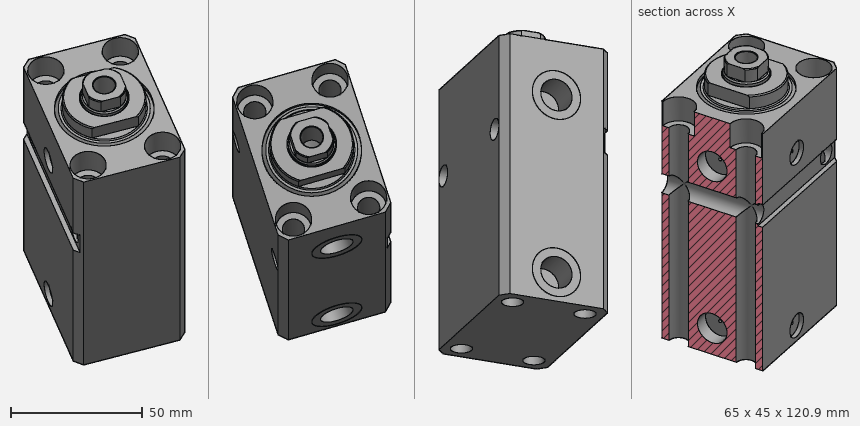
import cadquery as cq
import math

total_height = 120.9
block_length = 65.0
block_depth = 45.0
rod_projection = 13.7
block_height = total_height - rod_projection
corner_chamfer = 3.1

bolt_spacing_x = 50.0
bolt_spacing_y = 30.0
bolt_hole_diameter = 8.5
bolt_head_diameter = 13.8
bolt_head_depth = 10.9

keyway_height = 10.0
keyway_depth = 2.0
keyway_z = block_height - 37.1
cross_hole_diameter = 8.5

upper_port_z = block_height - 22.1
lower_side_port_z = 12.0
lower_front_port_z = 7.0
lower_duct_rise = 0.5
lower_front_duct_z = lower_front_port_z + lower_duct_rise
side_port_diameter = 12.9
side_port_depth = 13.3
spotface_diameter = 20.0
spotface_depth = 0.1
front_port_diameter = 10.0
front_port_depth = 1.9
oil_duct_diameter = 1.2
oil_duct_depth = 1.2

gland_diameter = 38.0
gland_chamfer = 1.5
gland_insertion = 14.5
foot_diameter = 32.9
foot_height = 0.5
boss_diameter = 31.9
boss_height = 6.3
boss_chamfer = 0.5
boss_flats = 26.0
bore_countersink = 0.5

rod_diameter = 18.0
rod_end_diameter = 16.9
rod_shoulder_chamfer = 0.6
rod_end_length = 5.9
rod_end_chamfer = 0.4
rod_flats = 15.0
thread_diameter = 8.5
thread_depth = 14.5
thread_chamfer = 0.2
drill_point_angle = 118

gland_bottom_z = block_height - gland_insertion
boss_top_z = block_height + boss_height
shoulder_z = total_height - rod_end_length


def cylinder(diameter, bottom_z, top_z):
    """Upright cylinder on the Z axis."""
    return cq.Workplane().workplane(offset=bottom_z).circle(diameter / 2).extrude(top_z - bottom_z)


def hole_from_left(diameter, depth, z):
    """Hole cutter that enters the left face along +X."""
    start = cq.Vector(-block_length / 2, 0, z)
    return cq.Workplane(cq.Solid.makeCylinder(diameter / 2, depth, start, cq.Vector(1, 0, 0)))


def hole_from_front(diameter, depth, x, z):
    """Hole cutter that enters the front face along +Y."""
    start = cq.Vector(x, -block_depth / 2, z)
    return cq.Workplane(cq.Solid.makeCylinder(diameter / 2, depth, start, cq.Vector(0, 1, 0)))


def make_housing():
    block = (
        cq.Workplane()
        .box(block_length, block_depth, block_height, centered=(True, True, False))
        .edges("|Z")
        .chamfer(corner_chamfer)
    )
    block = (
        block.faces(">Z")
        .workplane(origin=(0, 0, block_height))
        .rarray(bolt_spacing_x, bolt_spacing_y, 2, 2)
        .cboreHole(bolt_hole_diameter, bolt_head_diameter, bolt_head_depth)
    )

    keyway = cq.Workplane().box(block_length, 2 * keyway_depth, keyway_height)
    block = block.cut(keyway.translate((0, -block_depth / 2, keyway_z)))
    for x in (-bolt_spacing_x / 2, bolt_spacing_x / 2):
        block = block.cut(hole_from_front(cross_hole_diameter, block_depth, x, keyway_z))

    for z in (lower_side_port_z, upper_port_z):
        block = block.cut(hole_from_left(spotface_diameter, spotface_depth, z))
        block = block.cut(hole_from_left(side_port_diameter, side_port_depth, z))
        block = block.cut(hole_from_left(oil_duct_diameter, side_port_depth + oil_duct_depth, z))

    for port_z, duct_z in ((lower_front_port_z, lower_front_duct_z), (upper_port_z, upper_port_z)):
        block = block.cut(hole_from_front(front_port_diameter, front_port_depth, 0, port_z))
        block = block.cut(hole_from_front(oil_duct_diameter, front_port_depth + oil_duct_depth, 0, duct_z))

    return block.cut(cylinder(gland_diameter, gland_bottom_z, block_height))


def make_gland():
    gland = cylinder(gland_diameter, gland_bottom_z, block_height).faces(">Z").chamfer(gland_chamfer)

    foot = cq.Workplane(cq.Solid.makeCone(foot_diameter / 2, boss_diameter / 2, foot_height))
    foot = foot.translate((0, 0, block_height))
    boss = cylinder(boss_diameter, block_height + foot_height, boss_top_z).faces(">Z").chamfer(boss_chamfer)
    flats = cq.Workplane().box(boss_flats, boss_diameter, total_height, centered=(True, True, False))
    gland = gland.union(foot).union(boss.intersect(flats))

    gland = gland.cut(cylinder(rod_diameter, gland_bottom_z, boss_top_z))
    return gland.faces(">Z").edges(cq.selectors.RadiusNthSelector(0)).chamfer(bore_countersink)


def make_rod():
    shank = cylinder(rod_diameter, gland_bottom_z, shoulder_z).faces(">Z").chamfer(rod_shoulder_chamfer)
    end = cylinder(rod_end_diameter, shoulder_z, total_height).faces(">Z").chamfer(rod_end_chamfer)
    square = cq.Workplane().box(rod_flats, rod_flats, total_height, centered=(True, True, False))
    rod = shank.union(end.intersect(square))

    radius = thread_diameter / 2
    floor_z = total_height - thread_depth
    point_depth = radius / math.tan(math.radians(drill_point_angle / 2))
    hole = (
        cq.Workplane("XZ")
        .moveTo(0, total_height)
        .lineTo(radius + thread_chamfer, total_height)
        .lineTo(radius, total_height - thread_chamfer)
        .lineTo(radius, floor_z)
        .lineTo(0, floor_z - point_depth)
        .close()
        .revolve()
    )
    return rod.cut(hole)


housing = make_housing()
gland = make_gland()
rod = make_rod()

result = cq.Compound.makeCompound([housing.val(), gland.val(), rod.val()])